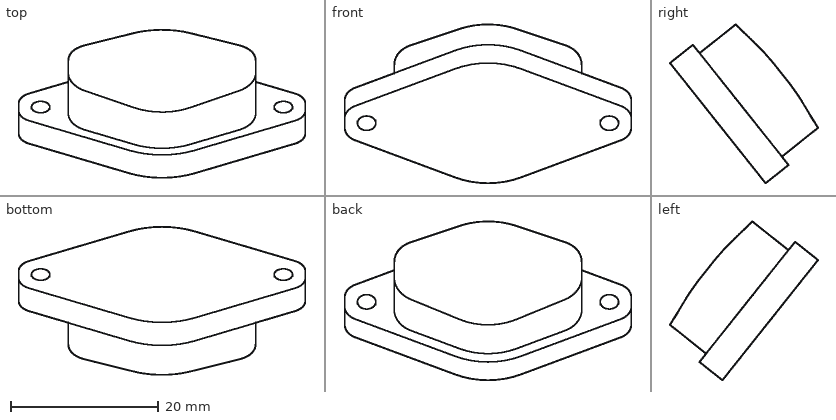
import cadquery as cq
import math

AXIS_ELEVATION = 38.5
UPRIGHT_ELEVATION = 90

FLANGE_HALF_LENGTH = 19.5
FLANGE_WAIST_RADIUS = 10.45
FLANGE_END_RADIUS = 2.5
FLANGE_THICKNESS = 4.0

BOSS_HALF_LENGTH = 12.75
BOSS_WAIST_RADIUS = 9.0
BOSS_END_RADIUS = 4.0

SIDE_SLOPE = 25.4

SADDLE_HEIGHT = 10.71
SADDLE_CROWN_RADIUS = 95.0
SADDLE_DISH_RADIUS = 260.0
BLANK_ALLOWANCE = 2.0
CUTTER_MARGIN = 1.0

HOLE_DIAMETER = 2.5
HOLE_OFFSET = 16.5


def rounded_rhombus(half_length, waist_radius, end_radius, height):
    """Prism with sloping sides tangent to a central circle and cut-off, rounded ends."""
    slope = math.radians(SIDE_SLOPE)
    waist_x = waist_radius * math.sin(slope)
    waist_y = waist_radius * math.cos(slope)
    end_y = (waist_radius - half_length * math.sin(slope)) / math.cos(slope)
    return (
        cq.Workplane("XY")
        .moveTo(-waist_x, waist_y)
        .threePointArc((0, waist_radius), (waist_x, waist_y))
        .lineTo(half_length, end_y)
        .lineTo(half_length, -end_y)
        .lineTo(waist_x, -waist_y)
        .threePointArc((0, -waist_radius), (-waist_x, -waist_y))
        .lineTo(-half_length, -end_y)
        .lineTo(-half_length, end_y)
        .close()
        .extrude(height)
        .edges("|Z and (<X or >X)")
        .fillet(end_radius)
    )


def flange():
    """Flange plate with a through hole near each end."""
    plate = rounded_rhombus(
        FLANGE_HALF_LENGTH, FLANGE_WAIST_RADIUS, FLANGE_END_RADIUS, FLANGE_THICKNESS
    )
    holes = (
        cq.Workplane("XY")
        .pushPoints([(-HOLE_OFFSET, 0), (HOLE_OFFSET, 0)])
        .circle(HOLE_DIAMETER / 2)
        .extrude(FLANGE_THICKNESS)
    )
    return plate.cut(holes)


def boss():
    """Boss rising from the flange underside plane, trimmed by a saddle surface."""
    blank = rounded_rhombus(
        BOSS_HALF_LENGTH, BOSS_WAIST_RADIUS, BOSS_END_RADIUS, SADDLE_HEIGHT + BLANK_ALLOWANCE
    )
    axis_height = SADDLE_HEIGHT + SADDLE_DISH_RADIUS
    reach = BOSS_WAIST_RADIUS + CUTTER_MARGIN
    sag = SADDLE_CROWN_RADIUS - math.sqrt(SADDLE_CROWN_RADIUS**2 - reach**2)
    cutter = (
        cq.Workplane("YZ")
        .moveTo(-reach, SADDLE_HEIGHT - sag)
        .threePointArc((0, SADDLE_HEIGHT), (reach, SADDLE_HEIGHT - sag))
        .lineTo(reach, axis_height)
        .lineTo(-reach, axis_height)
        .close()
        .revolve(360, (0, axis_height, 0), (1, axis_height, 0))
    )
    return blank.cut(cutter)


upright_part = flange().union(boss())
result = upright_part.rotate((0, 0, 0), (1, 0, 0), AXIS_ELEVATION - UPRIGHT_ELEVATION)